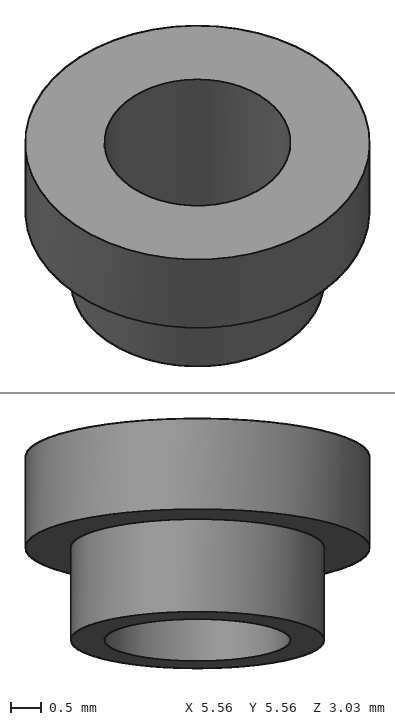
import cadquery as cq

flange_diameter = 5.56
sleeve_diameter = 4.09
bore_diameter = 3.0
total_height = 3.03
flange_height = 1.5
sleeve_height = total_height - flange_height

sleeve = cq.Workplane("XY").circle(sleeve_diameter / 2).extrude(sleeve_height)
flanged_sleeve = (
    sleeve.faces(">Z")
    .workplane()
    .circle(flange_diameter / 2)
    .extrude(flange_height)
)

result = flanged_sleeve.faces(">Z").workplane().circle(bore_diameter / 2).cutThruAll()